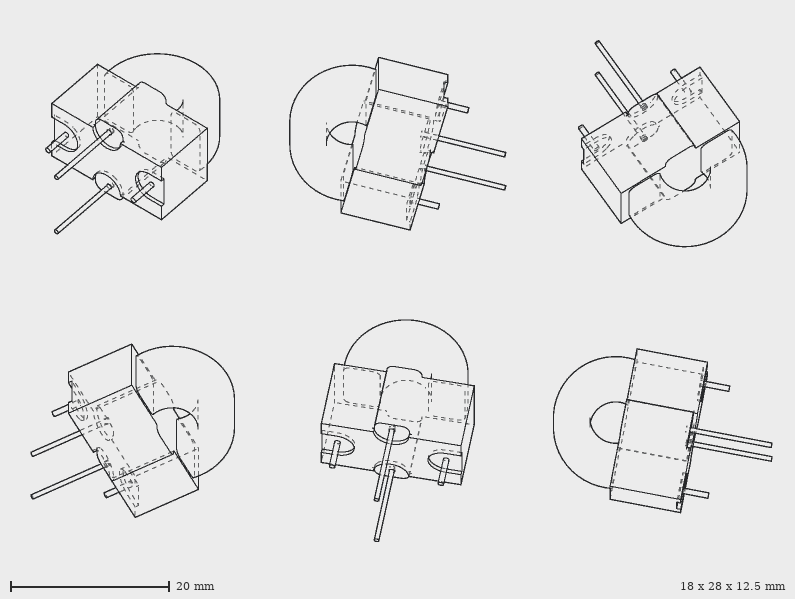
import cadquery as cq

body_width = 18.0
body_length = 9.1
body_height = 9.38
front_y = -body_length
recess_depth = 0.5
recess_y = front_y + recess_depth

overall_height = 12.5
ridge_width = 4.5
ridge_corner_radius = 1.05
ridge_root_radius = 0.25

recess_radius = ridge_width / 2
side_pin_x = 7.0
side_pin_diameter = 0.73
side_pin_reach = 3.2

lead_z = 4.85
lead_diameter = 0.62
lead_reach = 10.0
lead_hole_diameter = 0.75
lead_hole_depth = 0.5

core_center_y = 1.0
core_outer_radius = 7.9
core_inner_radius = 3.25
core_height = 8.35
core_edge_radius = 0.9

position_tolerance = 0.003


def block(x_size, z_size, y_start, y_end):
    """Box centred on X and Z that spans y_start to y_end."""
    y_size = y_end - y_start
    return cq.Workplane("XY").box(x_size, y_size, z_size).translate((0, y_start + y_size / 2, 0))


def rod(x, z, diameter, y_start, y_end):
    """Round bar parallel to Y that spans y_start to y_end."""
    return cq.Workplane("XZ", origin=(x, y_end, z)).circle(diameter / 2).extrude(y_end - y_start)


def fillet_lengthwise(solid, x, z, radius):
    """Round the four edges parallel to Y that lie at (+-x, +-z)."""

    def at_position(edge):
        center = edge.Center()
        x_error = abs(abs(center.x) - x)
        z_error = abs(abs(center.z) - z)
        return max(x_error, z_error) < position_tolerance

    return solid.edges("|Y").filter(at_position).fillet(radius)


def make_ridged_body():
    """Main part of the housing, up to the floor of the front recesses."""
    body = block(body_width, body_height, recess_y, 0)
    body = body.union(block(ridge_width, overall_height, recess_y, 0))
    body = fillet_lengthwise(body, ridge_width / 2, body_height / 2, ridge_root_radius)
    return fillet_lengthwise(body, ridge_width / 2, overall_height / 2, ridge_corner_radius)


def make_front_layer():
    """Front layer of the housing, cut away around the pins and the leads."""
    layer = block(body_width, body_height, front_y, recess_y)
    slot_length = body_width / 2 - side_pin_x
    for side in (-1, 1):
        layer = layer.cut(rod(0, side * body_height / 2, 2 * recess_radius, front_y, recess_y))
        layer = layer.cut(rod(side * side_pin_x, 0, 2 * recess_radius, front_y, recess_y))
        slot = block(slot_length, 2 * recess_radius, front_y, recess_y)
        layer = layer.cut(slot.translate((side * (side_pin_x + slot_length / 2), 0, 0)))
    return layer


def make_core():
    """Ring with rounded rims and its axis along Z."""
    return (
        cq.Workplane("XY", origin=(0, core_center_y, -core_height / 2))
        .circle(core_outer_radius)
        .circle(core_inner_radius)
        .extrude(core_height)
        .edges("%CIRCLE")
        .fillet(core_edge_radius)
    )


result = make_ridged_body().union(make_front_layer()).union(make_core())

lead_hole_floor_y = recess_y + lead_hole_depth
for side in (-1, 1):
    result = result.union(rod(side * side_pin_x, 0, side_pin_diameter, front_y - side_pin_reach, recess_y))
    result = result.cut(rod(0, side * lead_z, lead_hole_diameter, recess_y, lead_hole_floor_y))
    result = result.union(rod(0, side * lead_z, lead_diameter, front_y - lead_reach, lead_hole_floor_y))